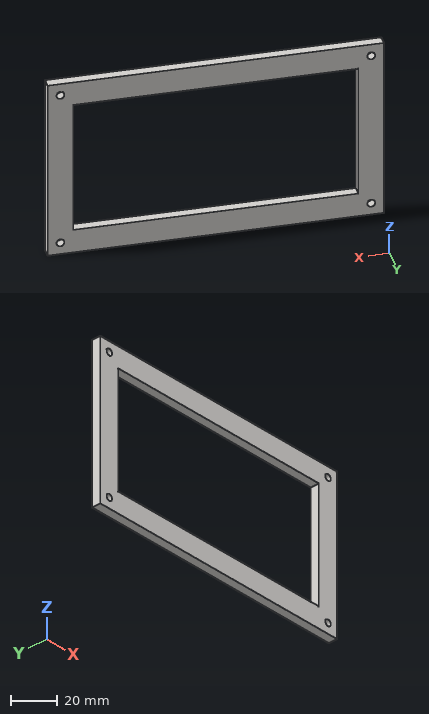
import cadquery as cq

length = 150.0
thickness = 5.0
height = 86.0

window_length = 127.0
window_height = 63.0

hole_diameter = 3.5
hole_spacing_x = (length + window_length) / 2
hole_spacing_z = (height + window_height) / 2

blank = cq.Workplane("XY").box(length, thickness, height)

window = cq.Workplane("XY").box(window_length, thickness, window_height)

corner_holes = (
    cq.Workplane("XZ")
    .rect(hole_spacing_x, hole_spacing_z, forConstruction=True)
    .vertices()
    .circle(hole_diameter / 2)
    .extrude(thickness, both=True)
)

result = blank.cut(window).cut(corner_holes)